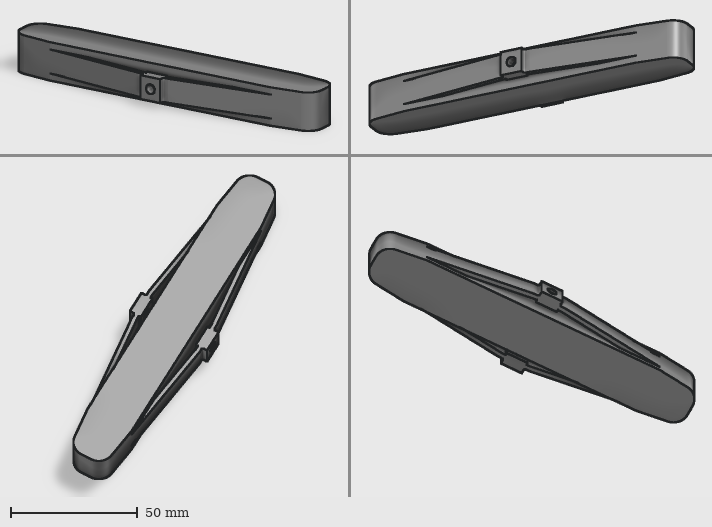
import cadquery as cq

length = 140.7
height = 16.0
body_width = 20.0
shoulder_x = 51.6
end_radius = 6.3

overall_width = 35.0
strip_height = 10.0
strip_thickness = 2.0
strip_flat_y = 15.3
strip_flat_half_length = 7.0
inner_flat_half_length = 5.9

block_length = 9.3
block_depth = 5.0
hole_diameter = 4.0
neck_radius = 0.49

taper = (strip_flat_y - body_width / 2) / (shoulder_x - strip_flat_half_length)
end_half_width = body_width / 2 - taper * (length / 2 - shoulder_x)


def make_body():
    quadrant = [
        (length / 2, end_half_width),
        (shoulder_x, body_width / 2),
    ]
    upper = quadrant + [(-x, y) for x, y in reversed(quadrant)]
    lower = [(-x, -y) for x, y in upper]
    prism = cq.Workplane("XY").polyline(upper + lower).close().extrude(height / 2, both=True)
    return prism.edges("|Z and (<X or >X)").fillet(end_radius)


def make_strip():
    """Bowed strip and drilled block on the +Y side."""
    inner_flat_y = strip_flat_y - strip_thickness
    root_y = body_width / 2 - strip_thickness
    inner_root_x = inner_flat_half_length + (inner_flat_y - root_y) / taper
    half_outline = [
        (inner_root_x, root_y),
        (shoulder_x, root_y),
        (shoulder_x, body_width / 2),
        (strip_flat_half_length, strip_flat_y),
    ]
    outer = half_outline + [(-x, y) for x, y in reversed(half_outline)]
    inner = [(-inner_flat_half_length, inner_flat_y), (inner_flat_half_length, inner_flat_y)]
    strip = cq.Workplane("XY").polyline(outer + inner).close().extrude(strip_height / 2, both=True)

    block_y = (overall_width - block_depth) / 2
    block = cq.Workplane("XY").box(block_length, block_depth, strip_height).translate((0, block_y, 0))
    strip = strip.union(block)

    for side in (-1, 1):
        corner = (side * block_length / 2, strip_flat_y, 0)
        strip = strip.edges(cq.selectors.NearestToPointSelector(corner)).fillet(neck_radius)

    hole = (
        cq.Workplane("XZ", origin=(0, overall_width / 2, 0))
        .circle(hole_diameter / 2)
        .extrude(block_depth)
    )
    return strip.cut(hole)


strip = make_strip()
result = make_body().union(strip).union(strip.mirror("XZ"))